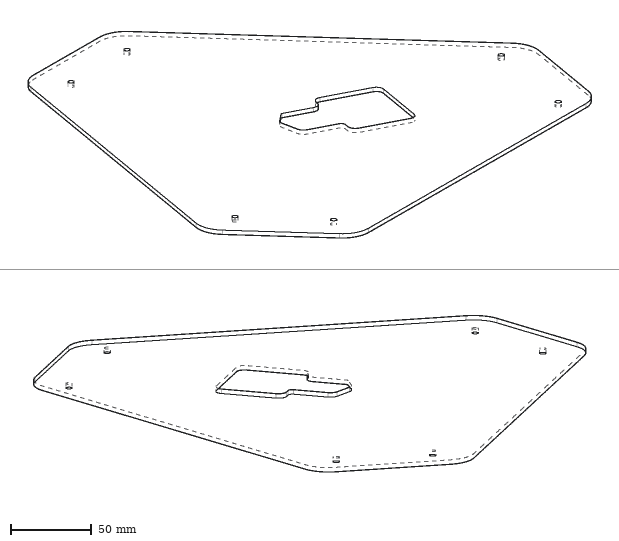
import cadquery as cq
import math

thickness = 3.0
plate_width = 352
plate_height = 311.5
top_side = 95.0
lower_side = 96.5
corner_radius = 20.0
base_y = -131.5

hole_centre_x = 1.95
hole_diameter = 4.0
hole_places = [(41.0, 155.5), (149.5, -51.7), (118.5, -105.2)]

window_half_width = 27.0
window_top = 65.8
left_shelf_y = 19.0
right_shelf_y = 20.0
neck_left = -14.5
neck_right = 15.5
neck_bottom = -8.8
tip_x = -2.8
tip_y = -15.5
upper_radius = 5.0
shelf_radius = 5.3
right_neck_radius = 2.8
tip_radius = 6.0
right_bottom_radius = 5.3
left_bottom_radius = 1.5


def make_plate():
    """Truncated triangle with its wide base along -Y."""
    slope = math.radians(60)
    rounding_loss = corner_radius * (1 / math.cos(math.radians(30)) - 1)
    side_corner_x = plate_width / 2 + rounding_loss
    base_half_width = side_corner_x - lower_side * math.cos(slope)
    side_corner_y = base_y + lower_side * math.sin(slope)
    top_y = base_y + plate_height
    right_half = [
        (base_half_width, base_y),
        (side_corner_x, side_corner_y),
        (top_side / 2, top_y),
    ]
    left_half = [(-x, y) for x, y in reversed(right_half)]
    plate = cq.Workplane("XY").polyline(right_half + left_half).close().extrude(thickness)
    return plate.edges("|Z").fillet(corner_radius)


def make_window():
    """Cutter for the window, with each corner rounded to its own radius."""
    corners = [
        ((-window_half_width, window_top), upper_radius),
        ((window_half_width, window_top), upper_radius),
        ((window_half_width, right_shelf_y), shelf_radius),
        ((neck_right, right_shelf_y), right_neck_radius),
        ((neck_right, neck_bottom), right_bottom_radius),
        ((tip_x, tip_y), tip_radius),
        ((neck_left, neck_bottom), left_bottom_radius),
        ((neck_left, left_shelf_y), shelf_radius),
        ((-window_half_width, left_shelf_y), shelf_radius),
    ]
    outline = [point for point, radius in corners]
    cutter = cq.Workplane("XY").polyline(outline).close().extrude(thickness)
    for (x, y), radius in corners:
        corner_edge = cq.selectors.NearestToPointSelector((x, y, thickness / 2))
        cutter = cutter.edges("|Z").edges(corner_edge).fillet(radius)
    return cutter


def make_holes():
    """Cutters for the mirrored pairs of mounting holes."""
    places = [(hole_centre_x + side * x, y) for x, y in hole_places for side in (-1, 1)]
    return cq.Workplane("XY").pushPoints(places).circle(hole_diameter / 2).extrude(thickness)


result = make_plate().cut(make_window()).cut(make_holes())